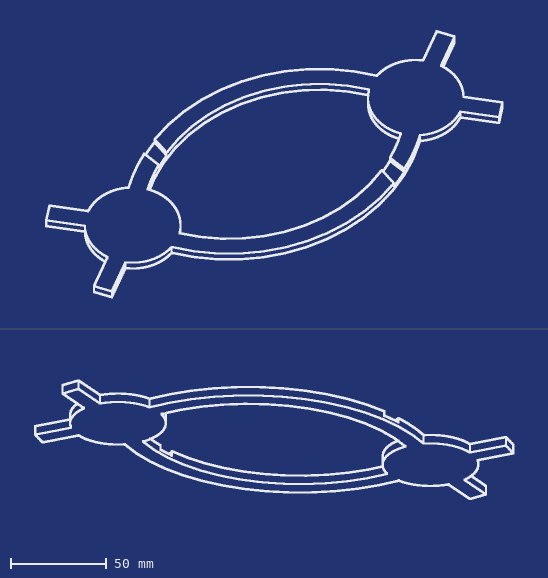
import math

import cadquery as cq

THICKNESS = 5.0
AXIS_ANGLE = 49.68
DISC_RADIUS = 25.0
DISC_OFFSET = 85.0
TAB_REACH = 45.0
TAB_ANGLE = 40.0
BAND_WIDTH = 10.0
ARM_RISE = 50.0

NOTCH_DEPTH = 2.5
NOTCH_NEAR_ANGLE = 28.5
NOTCH_FAR_ANGLE = 34.4
NOTCH_NEAR_TILT = 6.0
NOTCH_FAR_TILT = 16.0

ARM_RADIUS = (DISC_OFFSET**2 + ARM_RISE**2) / (2 * ARM_RISE)
ARM_CENTRE_Y = ARM_RISE - ARM_RADIUS
ARM_HALF_ANGLE = math.degrees(math.asin(DISC_OFFSET / ARM_RADIUS))


def arm_point(radius, angle):
    """Point on the upper arm, at an angle from its middle (positive toward -X)."""
    turn = math.radians(angle)
    return (-radius * math.sin(turn), ARM_CENTRE_Y + radius * math.cos(turn))


def turn_about_z(body, angle):
    return body.rotate((0, 0, 0), (0, 0, 1), angle)


def make_arm():
    """Upper arm, a curved band between the two disc centres."""
    outer = ARM_RADIUS + BAND_WIDTH / 2
    inner = ARM_RADIUS - BAND_WIDTH / 2
    return (
        cq.Workplane("XY")
        .moveTo(*arm_point(outer, ARM_HALF_ANGLE))
        .threePointArc(arm_point(outer, 0), arm_point(outer, -ARM_HALF_ANGLE))
        .lineTo(*arm_point(inner, -ARM_HALF_ANGLE))
        .threePointArc(arm_point(inner, 0), arm_point(inner, ARM_HALF_ANGLE))
        .close()
        .extrude(THICKNESS)
    )


def make_hub():
    """Disc with its two tabs, at the +X end of the long axis."""
    hub = cq.Workplane("XY").circle(DISC_RADIUS).extrude(THICKNESS)
    for angle in (-TAB_ANGLE, TAB_ANGLE):
        tab = cq.Workplane("XY").rect(TAB_REACH, BAND_WIDTH).extrude(THICKNESS)
        tab = tab.translate((TAB_REACH / 2, 0, 0))
        hub = hub.union(turn_about_z(tab, angle))
    return hub.translate((DISC_OFFSET, 0, 0))


def notch_wall(angle, tilt):
    """Outer and inner ends of a notch wall, run past both edges of the arm."""
    x, y = arm_point(ARM_RADIUS, angle)
    dx = BAND_WIDTH * math.sin(math.radians(tilt))
    dy = BAND_WIDTH * math.cos(math.radians(tilt))
    return (x - dx, y + dy), (x + dx, y - dy)


def make_notch():
    """Cutting block for the notch in the top of the upper arm."""
    near_outer, near_inner = notch_wall(NOTCH_NEAR_ANGLE, NOTCH_NEAR_TILT)
    far_outer, far_inner = notch_wall(NOTCH_FAR_ANGLE, NOTCH_FAR_TILT)
    return (
        cq.Workplane("XY")
        .workplane(offset=THICKNESS - NOTCH_DEPTH)
        .polyline([near_outer, near_inner, far_inner, far_outer])
        .close()
        .extrude(NOTCH_DEPTH)
    )


arm = make_arm().cut(make_notch())
half = arm.union(make_hub())
body = half.union(turn_about_z(half, 180))
result = turn_about_z(body, AXIS_ANGLE)